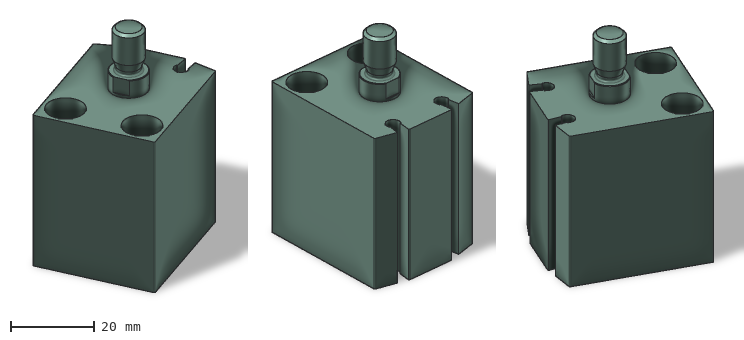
import cadquery as cq
import math

WIDTH = 32.0
DEPTH = 39.0
HOUSING_HEIGHT = 42.0
TOTAL_HEIGHT = 59.0
ROD_TO_FRONT = 21.0
FRONT_Y = -ROD_TO_FRONT
BACK_Y = FRONT_Y + DEPTH
BACK_FLAT_WIDTH = 13.0
SHOULDER_DROP = 2.4
CORNER_RADIUS = 0.4

HOLE_SPACING = 20.0
HOLE_TO_FRONT = 6.0
HOLE_DIAMETER = 5.5
COUNTERBORE_DIAMETER = 10.0
COUNTERBORE_DEPTH = 5.7

SLOT_OFFSET_X = 7.9
SLOT_FLOOR_TO_BACK = 6.55
SLOT_HEAD_RADIUS = 1.9
SLOT_NECK_WIDTH = 3.0
SLOT_LEDGE_HEIGHT = 0.7
SLOT_CENTER_Y = BACK_Y - SLOT_FLOOR_TO_BACK + SLOT_HEAD_RADIUS
SLOT_TILT = 8.0
SLOT_REACH = 2 * SLOT_FLOOR_TO_BACK

COLLAR_DIAMETER = 10.0
COLLAR_HEIGHT = 5.0
COLLAR_CHAMFER = 0.2
FLATS_WIDTH = 9.0
FLATS_BOTTOM = 0.7
NECK_DIAMETER = 6.2
NECK_FILLET = 0.55
NECK_HEIGHT = 1.2
TAPER_HEIGHT = 2.35
TIP_DIAMETER = 8.0
TIP_CHAMFER = 0.75


def make_slot(side):
    """Keyhole cutter; side is -1 for the left slot and 1 for the right one."""
    half_neck = SLOT_NECK_WIDTH / 2
    half_ledge = math.sqrt(SLOT_HEAD_RADIUS**2 - SLOT_LEDGE_HEIGHT**2)
    slot = (
        cq.Workplane("XY")
        .moveTo(-half_neck, SLOT_REACH)
        .lineTo(-half_neck, SLOT_LEDGE_HEIGHT)
        .lineTo(-half_ledge, SLOT_LEDGE_HEIGHT)
        .threePointArc((0, -SLOT_HEAD_RADIUS), (half_ledge, SLOT_LEDGE_HEIGHT))
        .lineTo(half_neck, SLOT_LEDGE_HEIGHT)
        .lineTo(half_neck, SLOT_REACH)
        .close()
        .extrude(HOUSING_HEIGHT)
    )
    slot = slot.rotate((0, 0, 0), (0, 0, 1), -side * SLOT_TILT)
    return slot.translate((side * SLOT_OFFSET_X, SLOT_CENTER_Y, 0))


def make_housing():
    half_width = WIDTH / 2
    half_flat = BACK_FLAT_WIDTH / 2
    shoulder_y = BACK_Y - SHOULDER_DROP
    block = (
        cq.Workplane("XY")
        .moveTo(-half_width, FRONT_Y)
        .lineTo(half_width, FRONT_Y)
        .lineTo(half_width, shoulder_y)
        .lineTo(half_flat, BACK_Y)
        .lineTo(-half_flat, BACK_Y)
        .lineTo(-half_width, shoulder_y)
        .close()
        .extrude(HOUSING_HEIGHT)
    )
    block = block.faces("<X or >X").edges("|Z").fillet(CORNER_RADIUS)

    hole_y = FRONT_Y + HOLE_TO_FRONT
    hole_points = [(-HOLE_SPACING / 2, hole_y), (HOLE_SPACING / 2, hole_y)]
    block = (
        block.faces(">Z")
        .workplane(origin=(0, 0, HOUSING_HEIGHT))
        .pushPoints(hole_points)
        .cboreHole(HOLE_DIAMETER, COUNTERBORE_DIAMETER, COUNTERBORE_DEPTH)
    )
    for side in (-1, 1):
        block = block.cut(make_slot(side))
    return block


def make_rod():
    collar_radius = COLLAR_DIAMETER / 2
    neck_radius = NECK_DIAMETER / 2
    tip_radius = TIP_DIAMETER / 2
    collar_top = HOUSING_HEIGHT + COLLAR_HEIGHT
    neck_top = collar_top + NECK_HEIGHT
    taper_top = neck_top + TAPER_HEIGHT
    arc_inset = NECK_FILLET * (1 - math.sqrt(0.5))
    arc_middle = (neck_radius + arc_inset, collar_top + arc_inset)

    rod = (
        cq.Workplane("XZ")
        .moveTo(0, HOUSING_HEIGHT)
        .lineTo(collar_radius, HOUSING_HEIGHT)
        .lineTo(collar_radius, collar_top - COLLAR_CHAMFER)
        .lineTo(collar_radius - COLLAR_CHAMFER, collar_top)
        .lineTo(neck_radius + NECK_FILLET, collar_top)
        .threePointArc(arc_middle, (neck_radius, collar_top + NECK_FILLET))
        .lineTo(neck_radius, neck_top)
        .lineTo(tip_radius, taper_top)
        .lineTo(tip_radius, TOTAL_HEIGHT - TIP_CHAMFER)
        .lineTo(tip_radius - TIP_CHAMFER, TOTAL_HEIGHT)
        .lineTo(0, TOTAL_HEIGHT)
        .close()
        .revolve(360, (0, 0, 0), (0, 1, 0))
    )

    flats_height = COLLAR_HEIGHT - FLATS_BOTTOM
    for side in (-1, 1):
        flat_cutter = cq.Workplane("XY").box(
            COLLAR_DIAMETER, COLLAR_DIAMETER, flats_height, centered=(True, True, False)
        )
        cutter_y = side * (FLATS_WIDTH + COLLAR_DIAMETER) / 2
        rod = rod.cut(flat_cutter.translate((0, cutter_y, HOUSING_HEIGHT + FLATS_BOTTOM)))
    return rod


housing = make_housing()
rod = make_rod()
result = cq.Compound.makeCompound([housing.val(), rod.val()])